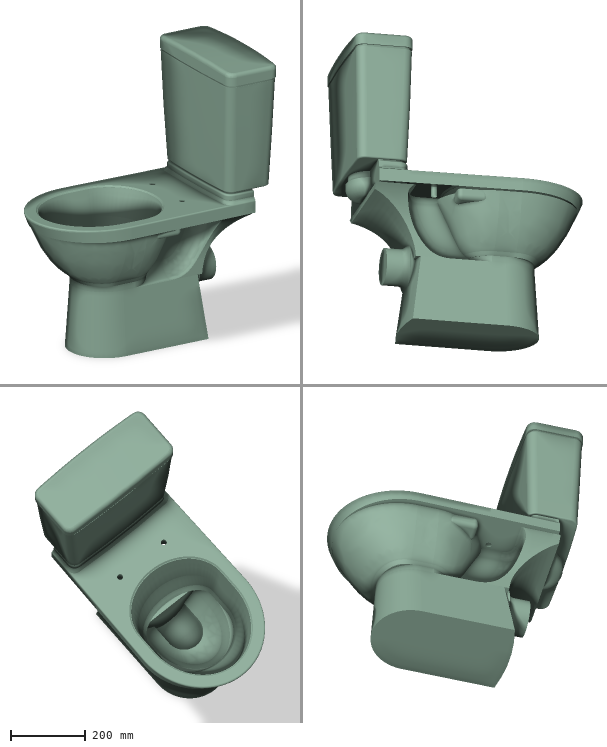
import cadquery as cq
import math

TOTAL_WIDTH = 379.96
TOTAL_DEPTH = 668.44
TOTAL_HEIGHT = 787.16

LID_HALF_WIDTH = TOTAL_WIDTH / 2
LID_DEPTH = 166.0
LID_BOTTOM = 746.0
LID_CROWN = 7.0
LID_EDGE_RADIUS = 11.0
CISTERN_BOW = 5.0
CISTERN_CORNER_RADIUS = 24.0
GROOVE_INSET = 4.0
TANK_TOP = 740.0
TANK_BOTTOM = 430.0
TANK_BOTTOM_RADIUS = 4.0

DECK_TOP = 400.0
DECK_BOTTOM = 364.0
DECK_BACK = 70.0
DECK_BACK_HALF_WIDTH = 174.0
DECK_HALF_WIDTH = 180.5
DECK_UNDERSIDE_FRONT = 655.0
DECK_EDGE_RADIUS = 4.0
DECK_BAND_BOTTOM = 394.0
PLINTH_TOP = 425.0
PLINTH_HALF_WIDTH = 166.0
PLINTH_FRONT = 157.0
PLINTH_EDGE_RADIUS = 5.0
PLINTH_FOOT = 8.0
PLINTH_BACK = 40.0
NECK_INSET = 7.0
CUP_RADIUS = 67.0
CUP_CENTRE = 84.0
CUP_BOTTOM = 367.0
CUP_EDGE_RADIUS = 30.0
CUP_SHOULDER = 410.0
CUP_THROAT_INSET = 6.0
SEAT_HOLE_DIAMETER = 16.0
SEAT_HOLE_OFFSET = 77.0
SEAT_HOLE_DEPTH = 243.0

OVAL_REAR_CENTRE = 405.0
OVAL_FRONT_CENTRE = 466.0
RIM_EDGE_RADIUS = 4.0

BASE_TOP = 185.0
COLLAR_TOP = 202.0
NECK_BOW = 75.0
COLLAR_BACK = 325.0
BASE_HALF_WIDTH = 107.0
BASE_TOP_HALF_WIDTH = 92.5
BASE_BACK = 163.5
BASE_TOP_BACK = 189.0
BASE_FRONT = 549.0
BASE_TOP_FRONT = 537.0
BASE_NOSE_CENTRE = 438.0
BASE_BACK_BOW = 14.0
BACK_ARM_DEPTH = 64.0
BACK_ARM_BOTTOM = 349.0
ARM_ARC_DEPTH = 151.0
ARM_ARC_HEIGHT = 286.0
ARM_FLARE_START = 230.0
ARM_TOP_HALF_WIDTH = 162.0
BODY_FRONT = 420.0
POCKET_FLOOR_HALF_WIDTH = 45.0
POCKET_BOTTOM = BASE_TOP
POCKET_BACK = 153.0
POCKET_BACK_DIRECTION = (-0.15, -1)
POCKET_BEND_DEPTH = 206.0
POCKET_BEND_HEIGHT = 228.0
POCKET_BOTTOM_DEPTH = 286.0
SCOOP_RADIUS = 44.0
POCKET_TOP_RADIUS = 18.0

OUTLET_RADIUS = 50.5
OUTLET_HEIGHT = 180.0
OUTLET_BACK = 119.0
OUTLET_FLARE = 18.0
OUTLET_FLARE_START = 163.0
BOSS_BACK = 292.0
BOSS_FRONT = 375.0
BOSS_BOTTOM = 335.0
BOSS_HALF_WIDTH = 158.0
BOSS_INNER = 100.0
BOSS_RADIUS = 12.0


TANK_SECTIONS = [
    (166.0, 10.0, 156.0, TANK_BOTTOM),
    (179.0, 5.5, 162.0, 600.0),
    (187.0, 2.0, 165.0, TANK_TOP),
]

BOWL_SECTIONS = [
    (165.0, 248.0, DECK_UNDERSIDE_FRONT, DECK_BOTTOM),
    (150.0, 279.0, 625.0, 303.0),
    (129.0, 299.0, 593.0, 256.0),
    (97.0, 320.0, 546.0, 214.0),
]
COLLAR_SECTION = (91.0, COLLAR_BACK, BASE_TOP_FRONT - 1, COLLAR_TOP)
RIM_SECTION = (143.0, 285.0, 632.0, DECK_TOP)
RIM_FOOT_SECTION = (125.0, 312.0, 611.0, 320.0)
BASIN_SECTION = (116.0, 332.0, 571.0, 280.0)
BASIN_FOOT_SECTION = (109.0, 345.0, 563.0, 266.0)

TRAP_RADIUS = 52.0
TROUGH_NOSE_CENTRE = 420.0

TROUGH_TOP_SECTION = (109.0, 563.0, 266.0)
TROUGH_STEP_SECTION = (88.0, 539.0, 240.0)
TROUGH_FLOOR_SECTION = (TRAP_RADIUS, TROUGH_NOSE_CENTRE + TRAP_RADIUS, 198.0)
TROUGH_BACK = 358.0


def loft(wires, ruled=True):
    return cq.Workplane(obj=cq.Solid.makeLoft(wires, ruled))


def bowed_rectangle(half_width, back, front, z):
    """Rounded rectangle whose front and back sides bow gently outwards."""
    outline = (
        cq.Workplane("XY", origin=(0, 0, z))
        .moveTo(-half_width, -back - CISTERN_BOW)
        .threePointArc((0, -back), (half_width, -back - CISTERN_BOW))
        .lineTo(half_width, -front + CISTERN_BOW)
        .threePointArc((0, -front), (-half_width, -front + CISTERN_BOW))
        .close()
        .val()
    )
    return outline.fillet2D(CISTERN_CORNER_RADIUS, outline.Vertices())


def half_ellipse(half_width, centre, reach, z):
    """Half ellipse across X at a given depth; a positive reach bulges towards the front."""
    facing = cq.Vector(0, 0, 1 if reach < 0 else -1)
    return cq.Edge.makeEllipse(
        half_width, abs(reach), cq.Vector(0, -centre, z), facing, cq.Vector(1, 0, 0), 0, 180
    )


def oval(half_width, back, front, z):
    """Oval with straight sides between a rear and a front half ellipse."""
    left_rear, left_front = [cq.Vector(-half_width, -d, z) for d in (OVAL_REAR_CENTRE, OVAL_FRONT_CENTRE)]
    right_rear, right_front = [cq.Vector(half_width, -d, z) for d in (OVAL_REAR_CENTRE, OVAL_FRONT_CENTRE)]
    return cq.Wire.assembleEdges([
        half_ellipse(half_width, OVAL_REAR_CENTRE, back - OVAL_REAR_CENTRE, z),
        cq.Edge.makeLine(left_rear, left_front),
        half_ellipse(half_width, OVAL_FRONT_CENTRE, front - OVAL_FRONT_CENTRE, z),
        cq.Edge.makeLine(right_front, right_rear),
    ])


def nosed_plan(half_width, back, back_half_width, centre, front, z, bow=0.0):
    """Plan with a half-elliptical front, straight sides and a flat or bowed back."""
    left_nose, right_nose = [cq.Vector(x, -centre, z) for x in (-half_width, half_width)]
    left_back, right_back = [cq.Vector(x, -back - bow, z) for x in (-back_half_width, back_half_width)]
    if bow:
        back_edge = cq.Edge.makeThreePointArc(left_back, cq.Vector(0, -back, z), right_back)
    else:
        back_edge = cq.Edge.makeLine(left_back, right_back)
    return cq.Wire.assembleEdges([
        half_ellipse(half_width, centre, front - centre, z),
        cq.Edge.makeLine(left_nose, left_back),
        back_edge,
        cq.Edge.makeLine(right_back, right_nose),
    ])


def make_tank():
    """Cistern body, widening upwards in a slight curve."""
    tank = loft([bowed_rectangle(*section) for section in TANK_SECTIONS], ruled=False)
    return tank.faces("<Z").edges().fillet(TANK_BOTTOM_RADIUS)


def make_lid():
    """Lid with a crown across its width, standing on a narrow shadow groove."""
    plan = bowed_rectangle(LID_HALF_WIDTH, 0.0, LID_DEPTH, LID_BOTTOM)
    lid = cq.Workplane(obj=cq.Solid.extrudeLinear(plan, [], cq.Vector(0, 0, TOTAL_HEIGHT - LID_BOTTOM)))
    crown_radius = (LID_HALF_WIDTH**2 + LID_CROWN**2) / (2 * LID_CROWN)
    crown = (
        cq.Workplane("XZ", origin=(0, LID_DEPTH, TOTAL_HEIGHT - crown_radius))
        .circle(crown_radius)
        .extrude(3 * LID_DEPTH)
    )
    lid = lid.intersect(crown).faces(">Z").edges().fillet(LID_EDGE_RADIUS)
    groove_plan = bowed_rectangle(
        LID_HALF_WIDTH - GROOVE_INSET, GROOVE_INSET, LID_DEPTH - GROOVE_INSET, TANK_TOP
    )
    groove = cq.Workplane(obj=cq.Solid.extrudeLinear(groove_plan, [], cq.Vector(0, 0, LID_BOTTOM - TANK_TOP)))
    return lid.union(groove)


def make_deck():
    """Flat deck with a short upright band on top and an undercut front below it."""
    sides = (DECK_HALF_WIDTH, DECK_BACK, DECK_BACK_HALF_WIDTH, OVAL_FRONT_CENTRE)
    deck = loft([
        nosed_plan(*sides, DECK_UNDERSIDE_FRONT, DECK_BOTTOM),
        nosed_plan(*sides, TOTAL_DEPTH, DECK_BAND_BOTTOM),
    ])
    band_plan = nosed_plan(*sides, TOTAL_DEPTH, DECK_BAND_BOTTOM)
    band = cq.Solid.extrudeLinear(band_plan, [], cq.Vector(0, 0, DECK_TOP - DECK_BAND_BOTTOM))
    band = cq.Workplane(obj=band).faces(">Z").edges("not >Y").fillet(DECK_EDGE_RADIUS)
    return deck.union(band)


def make_plinth():
    """Raised pad on the deck that carries the cistern, with a sloping foot and a narrow neck."""

    def layer(inset, bottom, height):
        plan = bowed_rectangle(PLINTH_HALF_WIDTH - inset, PLINTH_BACK, PLINTH_FRONT - inset, bottom)
        return cq.Workplane(obj=cq.Solid.extrudeLinear(plan, [], cq.Vector(0, 0, height)))

    pad = layer(0, DECK_TOP, PLINTH_TOP - DECK_TOP).faces(">Z").edges().fillet(PLINTH_EDGE_RADIUS)
    foot = loft([
        bowed_rectangle(PLINTH_HALF_WIDTH + PLINTH_FOOT, PLINTH_BACK, PLINTH_FRONT + PLINTH_FOOT, DECK_TOP),
        bowed_rectangle(PLINTH_HALF_WIDTH, PLINTH_BACK, PLINTH_FRONT, DECK_TOP + PLINTH_FOOT),
    ])
    behind = cq.Workplane("XY").box(TOTAL_WIDTH, DECK_BACK, TOTAL_HEIGHT, centered=(True, False, False))
    behind = behind.translate((0, -DECK_BACK, 0))
    neck = layer(NECK_INSET, DECK_TOP, TANK_BOTTOM + TANK_BOTTOM_RADIUS - DECK_TOP)
    return pad.union(foot).union(neck).cut(behind)


def make_cup():
    """Round valve cup under the cistern, showing behind the deck."""
    cup = (
        cq.Workplane("XY", origin=(0, -CUP_CENTRE, CUP_BOTTOM))
        .circle(CUP_RADIUS)
        .extrude(CUP_SHOULDER - CUP_BOTTOM)
        .faces("<Z").edges().fillet(CUP_EDGE_RADIUS)
    )
    throat = (
        cq.Workplane("XY", origin=(0, -CUP_CENTRE, CUP_SHOULDER))
        .circle(CUP_RADIUS - CUP_THROAT_INSET)
        .extrude(TANK_BOTTOM + TANK_BOTTOM_RADIUS - CUP_SHOULDER)
    )
    return cup.union(throat)


def make_base():
    """Tapered foot with a short upright neck under the bowl."""
    bottom = nosed_plan(
        BASE_HALF_WIDTH, BASE_BACK, BASE_HALF_WIDTH, BASE_NOSE_CENTRE, BASE_FRONT, 0, BASE_BACK_BOW
    )
    nose = (BASE_TOP_HALF_WIDTH, BASE_NOSE_CENTRE, BASE_TOP_FRONT, BASE_TOP)
    top = nosed_plan(BASE_TOP_HALF_WIDTH, BASE_TOP_BACK, *nose, BASE_BACK_BOW)
    neck_plan = nosed_plan(BASE_TOP_HALF_WIDTH, COLLAR_BACK, *nose, NECK_BOW)
    neck = cq.Solid.extrudeLinear(neck_plan, [], cq.Vector(0, 0, COLLAR_TOP - BASE_TOP))
    return loft([bottom, top]).union(cq.Workplane(obj=neck))


def make_arm():
    """Upright web that sweeps back under the deck, scooped out on both sides."""
    arm = (
        cq.Workplane("YZ", origin=(-ARM_TOP_HALF_WIDTH, 0, 0))
        .moveTo(-BODY_FRONT, BASE_TOP)
        .lineTo(-BASE_TOP_BACK, BASE_TOP)
        .threePointArc((-ARM_ARC_DEPTH, ARM_ARC_HEIGHT), (-BACK_ARM_DEPTH, BACK_ARM_BOTTOM))
        .lineTo(-BACK_ARM_DEPTH, DECK_BOTTOM)
        .lineTo(-BODY_FRONT, DECK_BOTTOM)
        .close()
        .extrude(2 * ARM_TOP_HALF_WIDTH)
    )
    flare = (
        cq.Workplane("XZ")
        .moveTo(0, BASE_TOP)
        .lineTo(BASE_TOP_HALF_WIDTH, BASE_TOP)
        .lineTo(BASE_TOP_HALF_WIDTH, ARM_FLARE_START)
        .tangentArcPoint((ARM_TOP_HALF_WIDTH, DECK_BOTTOM), relative=False)
        .lineTo(0, DECK_BOTTOM)
        .close()
        .extrude(BODY_FRONT)
    )
    return arm.intersect(flare.union(flare.mirror("YZ")))


def make_pocket():
    """Cutter for the scoop on the +X side; its rounded inner edge leaves a concave sweep."""
    cutter = (
        cq.Workplane("YZ", origin=(POCKET_FLOOR_HALF_WIDTH, 0, 0))
        .moveTo(-POCKET_BACK, DECK_BOTTOM)
        .spline([(-POCKET_BEND_DEPTH, POCKET_BEND_HEIGHT), (-POCKET_BOTTOM_DEPTH, POCKET_BOTTOM)],
                tangents=[POCKET_BACK_DIRECTION, (-1, 0)], includeCurrent=True)
        .lineTo(-BODY_FRONT, POCKET_BOTTOM)
        .lineTo(-BODY_FRONT, DECK_BOTTOM)
        .close()
        .extrude(DECK_HALF_WIDTH)
    )
    cutter = cutter.faces("<X").edges("not (>Z or <Y)").fillet(SCOOP_RADIUS)
    return cutter.faces("<X").edges(">Z").fillet(POCKET_TOP_RADIUS)


def make_outlet():
    """Waste spigot pointing backwards, flaring into the back of the pedestal."""
    flare_radius = OUTLET_RADIUS + OUTLET_FLARE
    flare_end = OUTLET_FLARE_START + OUTLET_FLARE
    bend = OUTLET_FLARE * (1 - math.sqrt(0.5))
    root = (BASE_NOSE_CENTRE + BASE_TOP_BACK) / 2
    return (
        cq.Workplane("XY")
        .moveTo(0, -OUTLET_BACK)
        .lineTo(OUTLET_RADIUS, -OUTLET_BACK)
        .lineTo(OUTLET_RADIUS, -OUTLET_FLARE_START)
        .threePointArc((OUTLET_RADIUS + bend, bend - flare_end), (flare_radius, -flare_end))
        .lineTo(0, -root)
        .close()
        .revolve(360, (0, 0, 0), (0, 1, 0))
        .translate((0, 0, OUTLET_HEIGHT))
    )


def make_bosses():
    """Rounded bosses under the deck beside the bowl."""
    boss = (
        cq.Workplane("XY", origin=(0, 0, BOSS_BOTTOM))
        .moveTo(BOSS_INNER, -BOSS_BACK)
        .lineTo(BOSS_HALF_WIDTH, -BOSS_BACK)
        .lineTo(BOSS_HALF_WIDTH, -BOSS_FRONT)
        .lineTo(BOSS_INNER, -BOSS_FRONT)
        .close()
        .extrude(DECK_BOTTOM - BOSS_BOTTOM)
        .edges("|Z or <Z").fillet(BOSS_RADIUS)
    )
    return boss.union(boss.mirror("YZ"))


def make_bowl():
    """Outside of the bowl, narrowing to a collar on the pedestal."""
    shell = loft([oval(*section) for section in BOWL_SECTIONS], ruled=False)
    collar = loft([oval(*BOWL_SECTIONS[-1]), oval(*COLLAR_SECTION)])
    return shell.union(collar)


def trough_section(half_width, front, z):
    return nosed_plan(half_width, TROUGH_BACK, half_width, TROUGH_NOSE_CENTRE, front, z)


def make_basin():
    """Cutter for the inside of the bowl: rim wall, basin slope, ledge, trough and round trap."""
    rim = loft([oval(*RIM_SECTION), oval(*RIM_FOOT_SECTION)])
    slope = loft([oval(*RIM_FOOT_SECTION), oval(*BASIN_SECTION)])
    ledge = loft([oval(*BASIN_SECTION), oval(*BASIN_FOOT_SECTION)])
    trough = loft([
        trough_section(*TROUGH_TOP_SECTION),
        trough_section(*TROUGH_STEP_SECTION),
        trough_section(*TROUGH_FLOOR_SECTION),
    ])
    trap_height = TROUGH_FLOOR_SECTION[2]
    trap = (
        cq.Workplane("XZ", origin=(0, -TROUGH_BACK, trap_height))
        .circle(TRAP_RADIUS)
        .extrude(TROUGH_NOSE_CENTRE - TROUGH_BACK)
    )
    trap = trap.union(
        cq.Workplane("XY", origin=(0, -TROUGH_NOSE_CENTRE, trap_height)).sphere(TRAP_RADIUS)
    )
    below_trough = cq.Workplane("XY").box(
        TOTAL_WIDTH, 2 * TOTAL_DEPTH, trap_height, centered=(True, True, False)
    )
    trap = trap.intersect(below_trough)
    half_width, back, front, height = RIM_SECTION
    lip = loft([
        oval(half_width + RIM_EDGE_RADIUS, back - RIM_EDGE_RADIUS, front + RIM_EDGE_RADIUS, height),
        oval(half_width, back, front, height - RIM_EDGE_RADIUS),
    ])
    return rim.union(slope).union(ledge).union(trough).union(trap).union(lip)


def make_seat_holes():
    """Pair of seat-hinge holes through the deck."""
    return (
        cq.Workplane("XY", origin=(0, 0, DECK_BOTTOM))
        .pushPoints([(side * SEAT_HOLE_OFFSET, -SEAT_HOLE_DEPTH) for side in (-1, 1)])
        .circle(SEAT_HOLE_DIAMETER / 2)
        .extrude(DECK_TOP - DECK_BOTTOM)
    )


pocket = make_pocket()
pedestal = make_arm().cut(pocket).cut(pocket.mirror("YZ"))
pedestal = pedestal.union(make_base()).union(make_outlet()).union(make_bowl())
pan = pedestal.union(make_deck()).union(make_bosses()).cut(make_basin()).cut(make_seat_holes())
cistern = make_tank().union(make_lid())
result = pan.union(make_plinth()).union(make_cup()).union(cistern)